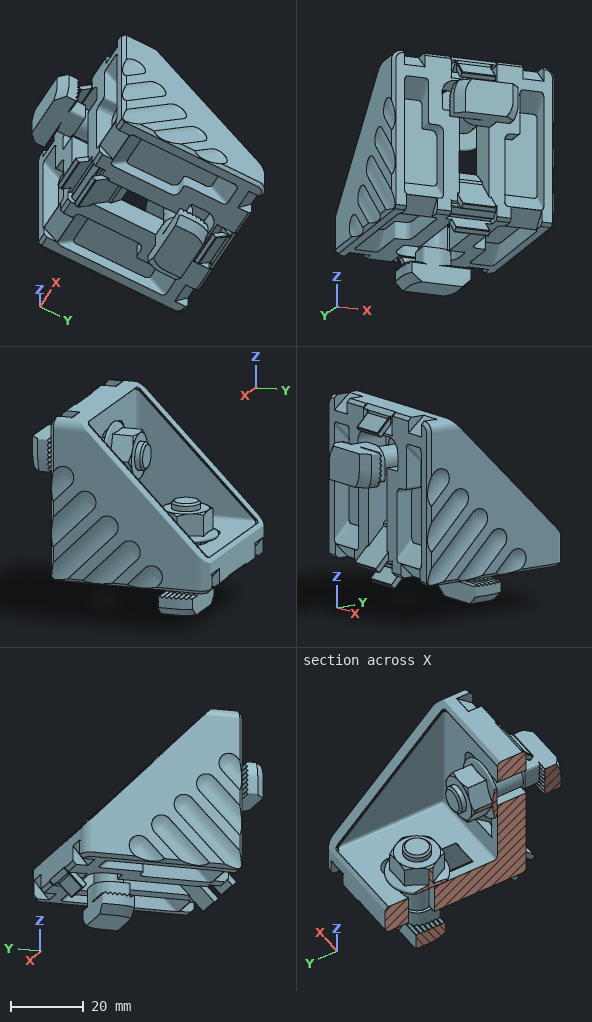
import cadquery as cq
import math


WIDTH = 48.0
LEG = 46.0
LEG_END = 8.5
WALL = 9.55
CORNER_RADIUS = 3.0
EDGE_CHAMFER = 1.0
SLANT_RADIUS = 0.35
CAVITY_WIDTH = 39.9
RIM_WIDTH = 40.7
RIM_DEPTH = 0.35
INNER_RADIUS = 1.0
SLANT = LEG + LEG_END

GROOVE_RADIUS = 6.0
GROOVE_DEPTH = 0.8
GROOVE_PITCH = 6.5
GROOVE_MIDDLE = 16.9
GROOVE_COUNT = 5

POCKET_DEPTH = 5.0
POCKET_OUTER = 20.5
POCKET_INNER_TOP = 13.45
POCKET_INNER_LOW = 9.05
POCKET_LOW = 4.3
POCKET_HIGH = 38.5
POCKET_STEP = 25.4
STEP_RADIUS = 1.9
STEP_ROOT_RADIUS = 0.7

NOTCH_INNER = 14.45
NOTCH_HEIGHT = 4.3
NOTCH_REACH = 5.2
CORNER_NOTCH_OUTER = 19.95
CORNER_NOTCH_INNER = 10.9
CORNER_NOTCH = 4.25

BOLT_POSITION = 31.05
SLOT_WIDTH = 8.7
FRONT_KEYHOLE_WIDTH = 18.85
BOTTOM_KEYHOLE_WIDTH = 18.15
KEYHOLE_LOW = 29.95
KEYHOLE_TOP = 38.85
KEYHOLE_RADIUS = 4.0
KEYHOLE_LOW_RADIUS = 0.7
SLOT_END_HEIGHT = 15.7
SLOT_LIP = 0.8

TAB_WIDTH = 9.95
TAB_HEIGHT = 2.4
CORNER_TAB_TOP = 6.4
CORNER_TAB_REACH = 4.3
END_TAB_TOP = 43.9
END_TAB_REACH = 3.65
RECESS_WIDTH = 13.45
END_RECESS_LOW = 39.5
END_RECESS_CHAMFER = 1.3
END_ROOT_WIDTH = 10.8
TAB_CHAMFER = 0.25
CORNER_RECESS_FLOOR = 1.85
CORNER_RECESS_DEPTH = 1.15
CORNER_RECESS_BEVEL = 2.6

BOLT_DIAMETER = 8.0
BOLT_TIP_DIAMETER = 6.8
BOLT_TIP = 19.6
HEAD_TIP = 11.3
HEAD_LENGTH = 18.9
HEAD_WIDTH = 9.75
HEAD_CHAMFER = 2.4
HEAD_EDGE_RADIUS = 0.4
NECK_TOP = 1.0
NECK_RADIUS = 1.0
TOOTH_TOP = 5.45
TOOTH_DEPTH = 0.65
TOOTH_PITCH = 1.4
TOOTH_OFFSET = 0.2
VALLEY_COUNT = 8

NUT_TOP = 17.5
NUT_FLATS = 13.0
FLANGE_DIAMETER = 18.0
FLANGE_CROWN = 0.5
FLANGE_HEIGHT = 1.65
NUT_CHAMFER_ANGLE = 30.0

RISING = cq.ParallelDirSelector(cq.Vector(0, 1, 1))
FALLING = cq.ParallelDirSelector(cq.Vector(0, 1, -1))


def prism(points, x_low, x_high):
    """Extrude a (Y, Z) outline along X."""
    return cq.Workplane("YZ").workplane(offset=x_low).polyline(points).close().extrude(x_high - x_low)


def centred_prism(points, width):
    """Extrude a (Y, Z) outline along X, symmetric about X = 0."""
    return prism(points, -width / 2, width / 2)


def front_box(x_low, x_high, depth, z_low, z_high):
    """Block that starts on the front mounting face and goes inward."""
    block = cq.Workplane("XY").box(x_high - x_low, depth, z_high - z_low, centered=False)
    return block.translate((x_low, 0, z_low))


def other_leg(shape):
    """Turn a shape from one leg of the bracket onto the other leg."""
    return shape.rotate((0, 0, 0), (0, 1, 1), 180)


def make_cavity(width):
    """Triangular space between the legs with a rounded bottom, open past the slanted face."""
    end = SLANT - WALL + INNER_RADIUS
    cavity = centred_prism([(WALL, WALL), (WALL, end), (end, WALL)], width)
    return cavity.faces("<Y or <Z").edges().edges("not >Y").edges("not >Z").fillet(INNER_RADIUS)


def make_shell():
    """Outer wedge with rounded leg ends, chamfered faces and the open cavity."""
    outline = [(0, 0), (0, LEG), (LEG_END, LEG), (LEG, LEG_END), (LEG, 0)]
    shell = centred_prism(outline, WIDTH)
    shell = shell.faces(">Z").edges("|Y").fillet(CORNER_RADIUS)
    shell = shell.faces(">Y").edges("|Z").fillet(CORNER_RADIUS)
    slanted_face = shell.faces(cq.DirectionMinMaxSelector(cq.Vector(0, 1, 1)))
    shell = slanted_face.edges().fillet(SLANT_RADIUS)
    shell = shell.faces("<Y or <Z").edges().chamfer(EDGE_CHAMFER)
    rim_bottom = SLANT - RIM_DEPTH * math.sqrt(2)
    above_rim = [(rim_bottom, 0), (2 * SLANT, 0), (0, 2 * SLANT), (0, rim_bottom)]
    rim = make_cavity(RIM_WIDTH).intersect(centred_prism(above_rim, WIDTH))
    return shell.cut(make_cavity(CAVITY_WIDTH)).cut(rim)


def make_grooves():
    """Round-bottomed 45 degree grip grooves on both side faces."""
    axis_x = WIDTH / 2 + GROOVE_RADIUS - GROOVE_DEPTH
    grooves = []
    for side in (-1, 1):
        for index in range(GROOVE_COUNT):
            step = (index - (GROOVE_COUNT - 1) / 2) * GROOVE_PITCH
            start = cq.Vector(side * axis_x, GROOVE_MIDDLE + step, GROOVE_MIDDLE - step)
            run = cq.Solid.makeCylinder(GROOVE_RADIUS, LEG, start, cq.Vector(0, -1, -1))
            end = cq.Workplane("XY").sphere(GROOVE_RADIUS).translate(start.toTuple())
            grooves += [run, end.val()]
    return grooves


def make_pocket():
    """Stepped pocket of the front leg at +X, with both ends sloping at 45 degrees."""
    ends = [
        (0, POCKET_LOW),
        (0, POCKET_HIGH),
        (POCKET_DEPTH, POCKET_HIGH - POCKET_DEPTH),
        (POCKET_DEPTH, POCKET_LOW + POCKET_DEPTH),
    ]
    narrow = prism(ends, POCKET_INNER_TOP, POCKET_OUTER)
    wide = prism(ends, POCKET_INNER_LOW, POCKET_OUTER)
    wide = wide.intersect(front_box(0, WIDTH, POCKET_DEPTH, 0, POCKET_STEP))
    pocket = narrow.union(wide)
    step_corner = cq.NearestToPointSelector((POCKET_INNER_LOW, POCKET_DEPTH / 2, POCKET_STEP))
    step_root = cq.NearestToPointSelector((POCKET_INNER_TOP, POCKET_DEPTH / 2, POCKET_STEP))
    pocket = pocket.edges("|Y").edges(step_corner).fillet(STEP_RADIUS)
    pocket = pocket.edges("|Y").edges(step_root).fillet(STEP_ROOT_RADIUS)
    return pocket.edges(RISING + FALLING).fillet(INNER_RADIUS)


def make_end_notch():
    """Wedge-shaped notch at +X in the end of the front leg."""
    wedge = [(0, LEG - NOTCH_HEIGHT), (NOTCH_REACH, LEG), (0, LEG)]
    return prism(wedge, NOTCH_INNER, POCKET_OUTER)


def make_slot(keyhole_width):
    """Keyhole slot through the front leg."""
    tab_root = CORNER_TAB_TOP + POCKET_DEPTH
    slot = centred_prism(
        [
            (0, CORNER_TAB_TOP),
            (POCKET_DEPTH, tab_root),
            (POCKET_DEPTH, tab_root + SLOT_LIP),
            (WALL, SLOT_END_HEIGHT),
            (WALL, BOLT_POSITION),
            (0, BOLT_POSITION),
        ],
        SLOT_WIDTH,
    )
    keyhole = front_box(-keyhole_width / 2, keyhole_width / 2, WALL, KEYHOLE_LOW, KEYHOLE_TOP)
    keyhole = keyhole.edges("|Y and >Z").fillet(KEYHOLE_RADIUS)
    keyhole = keyhole.edges("|Y and <Z").fillet(KEYHOLE_LOW_RADIUS)
    return slot.union(keyhole)


def make_end_recess():
    """Undercut around the guide tab at the end of the front leg."""
    roof = LEG - END_RECESS_CHAMFER
    pit = [(0, END_RECESS_LOW), (0, roof), (roof - END_RECESS_LOW, roof)]
    bevel = [(0, roof), (0, LEG), (END_RECESS_CHAMFER, LEG)]
    return centred_prism(pit, RECESS_WIDTH).union(centred_prism(bevel, RECESS_WIDTH))


def make_tab(top, reach, depth):
    """45 degree guide tab whose upper side meets the mounting face at Z = top."""
    half = TAB_HEIGHT / 2
    tab = centred_prism(
        [
            (-reach, top - reach),
            (depth, top + depth),
            (depth, top + depth - TAB_HEIGHT),
            (half - reach, top - reach - half),
        ],
        TAB_WIDTH,
    )
    tip = tab.faces(cq.DirectionMinMaxSelector(cq.Vector(0, -1, -1)))
    return tip.edges("|X").chamfer(TAB_CHAMFER)


def make_end_tab():
    """Guide tab at the end of the front leg, with the lip above it and the root that carries it."""
    roof = LEG - END_RECESS_CHAMFER
    lip = [(0, END_TAB_TOP), (0, roof), (roof - END_TAB_TOP, roof)]
    pit_depth = roof - END_RECESS_LOW
    root = [(0, roof), (pit_depth / 2, roof - pit_depth / 2), (pit_depth, roof)]
    tab = make_tab(END_TAB_TOP, END_TAB_REACH, roof - END_TAB_TOP)
    upper_side = tab.faces(cq.DirectionMinMaxSelector(cq.Vector(0, -1, 1)))
    tab = upper_side.edges(RISING).chamfer(TAB_CHAMFER)
    return tab.union(centred_prism(lip, TAB_WIDTH)).union(centred_prism(root, END_ROOT_WIDTH))


def make_corner_recess():
    """Relief beside the corner tabs, the same on both legs."""
    roof = CORNER_TAB_TOP - TAB_HEIGHT
    end = (roof + 2 * CORNER_RECESS_DEPTH - CORNER_RECESS_FLOOR) / 2
    front_half = [
        (0, roof),
        (CORNER_RECESS_DEPTH, roof + CORNER_RECESS_DEPTH),
        (end, end + CORNER_RECESS_FLOOR),
        (CORNER_RECESS_DEPTH, CORNER_RECESS_DEPTH + CORNER_RECESS_FLOOR),
        (CORNER_RECESS_DEPTH, CORNER_RECESS_BEVEL),
    ]
    bottom_half = [(z, y) for y, z in reversed(front_half)]
    return centred_prism([(0, 0), *front_half, *bottom_half], RECESS_WIDTH)


def make_corner_notch():
    """45 degree notch at +X across the corner between the legs."""
    wedge = [(0, 0), (0, CORNER_NOTCH), (CORNER_NOTCH, 0)]
    return prism(wedge, CORNER_NOTCH_INNER, CORNER_NOTCH_OUTER)


def make_bracket():
    """Bracket body with all cuts made and the guide tabs added."""
    body = make_shell()
    for groove in make_grooves():
        body = body.cut(cq.Workplane(groove))
    body = body.cut(make_slot(FRONT_KEYHOLE_WIDTH)).cut(other_leg(make_slot(BOTTOM_KEYHOLE_WIDTH)))
    leg_cuts = [make_end_recess()]
    for sided_cut in (make_pocket(), make_end_notch()):
        leg_cuts += [sided_cut, sided_cut.mirror("YZ")]
    for leg_cut in leg_cuts:
        body = body.cut(leg_cut).cut(other_leg(leg_cut))
    corner_notch = make_corner_notch()
    body = body.cut(corner_notch).cut(corner_notch.mirror("YZ")).cut(make_corner_recess())
    corner_tab = make_tab(CORNER_TAB_TOP, CORNER_TAB_REACH, POCKET_DEPTH)
    for tab in (corner_tab, make_end_tab()):
        body = body.union(tab).union(other_leg(tab))
    return body


def quadrant_pair(width, z_low, z_high, side):
    """Two opposite quarters of a square column: X * Y has the sign of side."""
    half = width / 2
    column = cq.Workplane("XY").box(half, half, z_high - z_low, centered=False)
    column = column.translate((0, 0, z_low))
    if side < 0:
        column = column.rotate((0, 0, 0), (0, 0, 1), 90)
    return column.union(column.rotate((0, 0, 0), (0, 0, 1), 180))


def make_bolt():
    """Quarter-turn hammer-head bolt of the bottom leg, its axis along Z at X = 0."""
    half_length = HEAD_LENGTH / 2
    half_width = HEAD_WIDTH / 2
    shoulder = HEAD_CHAMFER - HEAD_TIP
    head_root = -TOOTH_TOP
    rim = half_length - HEAD_CHAMFER

    square = (
        cq.Workplane("XZ", origin=(0, half_width, 0))
        .polyline(
            [
                (-half_length, head_root),
                (half_length, head_root),
                (half_length, shoulder),
                (rim, -HEAD_TIP),
                (-rim, -HEAD_TIP),
                (-half_length, shoulder),
            ]
        )
        .close()
        .extrude(HEAD_WIDTH)
    )
    square = square.intersect(quadrant_pair(2 * HEAD_LENGTH, -HEAD_TIP, head_root, -1))
    square = square.edges("|Z and (<X or >X)").edges("<Y or >Y").fillet(HEAD_EDGE_RADIUS)
    turned = (
        cq.Workplane("XZ")
        .polyline(
            [
                (0, head_root),
                (half_length, head_root),
                (half_length, shoulder),
                (rim, -HEAD_TIP),
                (0, -HEAD_TIP),
            ]
        )
        .close()
        .revolve(360, (0, 0, 0), (0, 1, 0))
    )
    turned = turned.intersect(cq.Workplane("XY").box(2 * HEAD_LENGTH, HEAD_WIDTH, 2 * HEAD_LENGTH))
    turned = turned.intersect(quadrant_pair(2 * HEAD_LENGTH, -HEAD_TIP, head_root, 1))
    head = square.union(turned)

    for index in range(VALLEY_COUNT):
        valley = (index - (VALLEY_COUNT - 1) / 2) * TOOTH_PITCH - TOOTH_OFFSET
        v_groove = [
            (valley - TOOTH_PITCH / 2, head_root),
            (valley, head_root - TOOTH_DEPTH),
            (valley + TOOTH_PITCH / 2, head_root),
        ]
        head = head.cut(centred_prism(v_groove, 2 * HEAD_LENGTH))

    neck_bottom = -TOOTH_TOP - TOOTH_DEPTH
    neck = quadrant_pair(HEAD_WIDTH, neck_bottom, -NECK_TOP, 1)
    neck = neck.edges("|Z and ((<X and <Y) or (>X and >Y))").fillet(NECK_RADIUS)
    neck = neck.union(
        cq.Workplane("XY", origin=(0, 0, neck_bottom)).circle(half_width).extrude(-NECK_TOP - neck_bottom)
    )

    shaft = cq.Workplane("XY", origin=(0, 0, -NECK_TOP)).circle(BOLT_DIAMETER / 2)
    shaft = shaft.extrude(BOLT_TIP + NECK_TOP)
    shaft = shaft.faces(">Z").chamfer((BOLT_DIAMETER - BOLT_TIP_DIAMETER) / 2)
    return head.union(neck).union(shaft).translate((0, BOLT_POSITION, 0))


def make_nut():
    """Hexagon flange nut of the bottom leg, its hole filled by the bolt shaft."""
    flange_radius = FLANGE_DIAMETER / 2
    corner_radius = NUT_FLATS / 2 / math.cos(math.pi / 6)
    flange = (
        cq.Workplane("XZ", origin=(0, 0, WALL))
        .moveTo(0, 0)
        .lineTo(flange_radius - FLANGE_CROWN, 0)
        .threePointArc((flange_radius, FLANGE_CROWN), (flange_radius - FLANGE_CROWN, 2 * FLANGE_CROWN))
        .lineTo(NUT_FLATS / 2, FLANGE_HEIGHT)
        .lineTo(0, FLANGE_HEIGHT)
        .close()
        .revolve(360, (0, 0, 0), (0, 1, 0))
    )
    hexagon = cq.Workplane("XY", origin=(0, 0, WALL)).polygon(6, 2 * corner_radius).extrude(NUT_TOP - WALL)
    drop = (corner_radius - NUT_FLATS / 2) * math.tan(math.radians(NUT_CHAMFER_ANGLE))
    chamfer_cone = (
        cq.Workplane("XZ")
        .polyline(
            [
                (0, 0),
                (corner_radius, 0),
                (corner_radius, NUT_TOP - drop),
                (NUT_FLATS / 2, NUT_TOP),
                (0, NUT_TOP),
            ]
        )
        .close()
        .revolve(360, (0, 0, 0), (0, 1, 0))
    )
    hole = cq.Workplane("XY").circle(BOLT_DIAMETER / 2).extrude(2 * NUT_TOP)
    nut = flange.union(hexagon.intersect(chamfer_cone)).cut(hole)
    return nut.translate((0, BOLT_POSITION, 0))


bracket = make_bracket()
bolt = make_bolt()
nut = make_nut()

fasteners = []
for fastener in (bolt, nut):
    fasteners += [fastener.val(), other_leg(fastener).val()]

result = cq.Compound.makeCompound([bracket.val(), *fasteners])